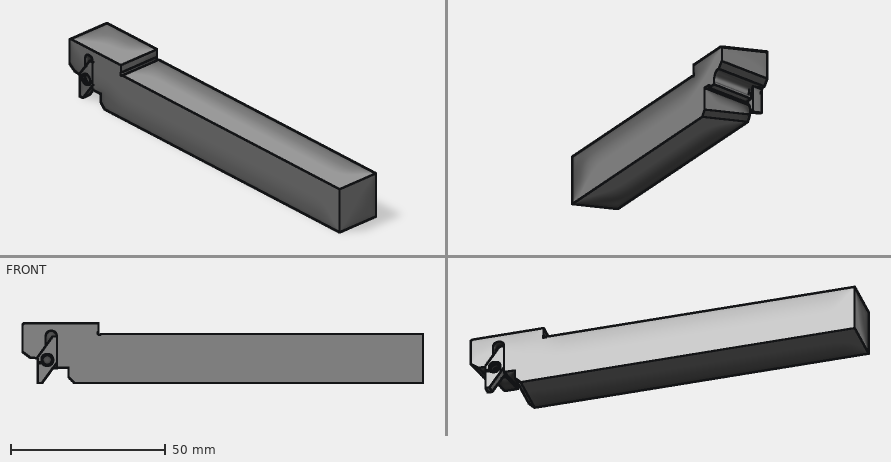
import cadquery as cq
import math

LENGTH = 130
SHANK = 16.0
HEAD_HEIGHT = 19.5
HEAD_LENGTH = 24.7
TOP_CHAMFER = 0.5

RELIEF_RADIUS = 0.5
RELIEF_OFFSET = 0.3

CLEARANCE_ANGLE = 15
NOSE_Z = 10.1
LEDGE_X = 2.6
LEDGE_Z = 8.2
FILLET_RADIUS = 3.2
LIP_X = 6.8
LIP_Z = 4.0
ROOF_Z = LEDGE_Z - FILLET_RADIUS
WALL_X = 15.0
WALL_CHAMFER = 2.0
MARGIN = 6.5

INSERT_LEFT = 5.0
INSERT_RIGHT = 11.2
INSERT_TOP = 15.1
EDGE_WIDTH = 1.4
EDGE_RISE = 6.6
INSERT_DEPTH = 3.0
SCREW_X = (INSERT_LEFT + INSERT_RIGHT) / 2
SCREW_Z = INSERT_TOP / 2
SCREW_RADIUS = 1.5
SINK_RADIUS = 2.0
SINK_DEPTH = 1.0

GROOVE_Z = 6.6
GROOVE_WIDTH = 0.4
GROOVE_DEPTH = 0.3

SLOT_RADIUS = 1.8
SLOT_X = INSERT_RIGHT - SLOT_RADIUS
SLOT_TOP = 17.0

SCREW_HOLE_DEPTH = 0.8


def on_front(depth=0):
    """XZ plane at the given distance behind the -Y face; its normal is -Y."""
    return cq.Workplane("XZ", origin=(0, depth, 0))


def insert_plate():
    outline = [
        (INSERT_LEFT, 0),
        (INSERT_LEFT + EDGE_WIDTH, 0),
        (INSERT_RIGHT, EDGE_RISE),
        (INSERT_RIGHT, INSERT_TOP),
        (INSERT_RIGHT - EDGE_WIDTH, INSERT_TOP),
        (INSERT_LEFT, INSERT_TOP - EDGE_RISE),
    ]
    return on_front().polyline(outline).close().extrude(-INSERT_DEPTH)


def make_insert():
    hole = on_front().center(SCREW_X, SCREW_Z).circle(SCREW_RADIUS).extrude(-INSERT_DEPTH)
    sink = on_front().center(SCREW_X, SCREW_Z).circle(SINK_RADIUS).extrude(-SINK_DEPTH)
    groove_length = SCREW_X - INSERT_LEFT
    groove = (
        on_front()
        .center(INSERT_LEFT + groove_length / 2, GROOVE_Z)
        .rect(groove_length, GROOVE_WIDTH)
        .extrude(-GROOVE_DEPTH)
    )
    return insert_plate().cut(hole).cut(sink).cut(groove)


def holder_blank():
    outline = [
        (0, WALL_CHAMFER),
        (0, HEAD_HEIGHT - TOP_CHAMFER),
        (TOP_CHAMFER, HEAD_HEIGHT),
        (HEAD_LENGTH, HEAD_HEIGHT),
        (HEAD_LENGTH, SHANK),
        (LENGTH, SHANK),
        (LENGTH, 0),
        (WALL_X + WALL_CHAMFER, 0),
        (WALL_X, WALL_CHAMFER),
    ]
    return on_front().polyline(outline).close().extrude(-SHANK)


def relief_groove():
    start = on_front().center(HEAD_LENGTH + RELIEF_OFFSET, SHANK + RELIEF_OFFSET)
    return start.circle(RELIEF_RADIUS).extrude(-SHANK)


def head_clearance():
    """Prism below the head, swept along a direction that climbs toward +Y."""
    slope = (NOSE_Z - LEDGE_Z) / LEDGE_X
    arc_x = LIP_X - FILLET_RADIUS
    arc_mid = FILLET_RADIUS * math.sqrt(0.5)
    profile = (
        on_front()
        .moveTo(-MARGIN, -MARGIN)
        .lineTo(-MARGIN, NOSE_Z + slope * MARGIN)
        .lineTo(LEDGE_X, LEDGE_Z)
        .lineTo(arc_x, LEDGE_Z)
        .threePointArc((arc_x + arc_mid, ROOF_Z + arc_mid), (LIP_X, ROOF_Z))
        .lineTo(LIP_X, LIP_Z)
        .lineTo(INSERT_RIGHT, LIP_Z)
        .lineTo(INSERT_RIGHT, ROOF_Z)
        .lineTo(WALL_X, ROOF_Z)
        .lineTo(WALL_X, -MARGIN)
        .close()
    )
    climb = SHANK * math.tan(math.radians(CLEARANCE_ANGLE))
    return cq.Solid.extrudeLinear(profile.val(), [], cq.Vector(0, SHANK, climb))


def insert_pocket():
    slot_center_z = SLOT_TOP - SLOT_RADIUS
    slot = (
        on_front()
        .moveTo(SLOT_X - SLOT_RADIUS, 0)
        .lineTo(SLOT_X - SLOT_RADIUS, slot_center_z)
        .threePointArc((SLOT_X, SLOT_TOP), (INSERT_RIGHT, slot_center_z))
        .lineTo(INSERT_RIGHT, 0)
        .close()
        .extrude(-INSERT_DEPTH)
    )
    return slot.union(insert_plate())


def screw_hole():
    start = on_front(INSERT_DEPTH).center(SCREW_X, SCREW_Z)
    return start.circle(SCREW_RADIUS).extrude(-SCREW_HOLE_DEPTH)


def make_holder():
    holder = holder_blank()
    for feature in (relief_groove(), head_clearance(), insert_pocket(), screw_hole()):
        holder = holder.cut(feature)
    return holder


holder = make_holder()
insert = make_insert()
result = cq.Compound.makeCompound([holder.val(), insert.val()])